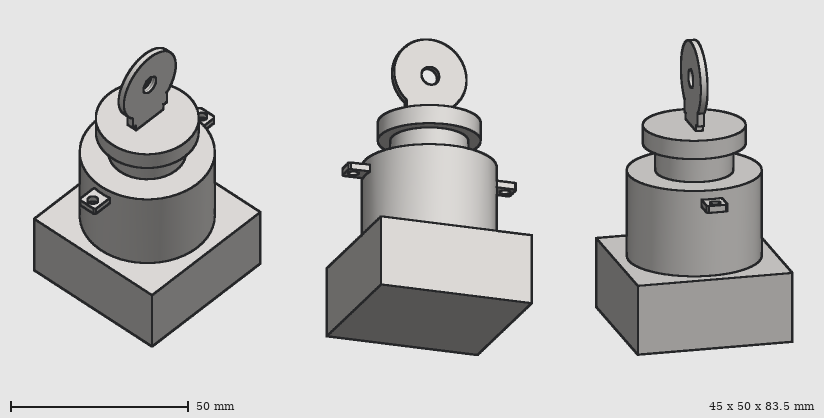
import cadquery as cq

base_side = 45.0
base_height = 20.4
barrel_diameter = 38.0
barrel_height = 25.2

neck_diameter = 22.0
neck_height = 7.9
head_diameter = 29.0
head_height = 5.4

overall_height = 83.5
key_thickness = 2.0
bow_diameter = 21.6
bow_hole_diameter = 5.3
shoulder_width = 14.0
blade_width = 11.45
blade_height = 1.75

lug_span = 50.0
lug_width = 6.0
lug_thickness = 2.0
lug_drop = 2.6
lug_corner_chamfer = 0.5
lug_hole_diameter = 3.0
lug_hole_offset = 22.6

barrel_top = base_height + barrel_height
head_bottom = barrel_top + neck_height
head_top = head_bottom + head_height
bow_center_z = overall_height - bow_diameter / 2
lug_bottom = barrel_top - lug_drop - lug_thickness


def cylinder(diameter, height, bottom):
    return cq.Workplane("XY").workplane(offset=bottom).circle(diameter / 2).extrude(height)


def make_housing():
    base = cq.Workplane("XY").rect(base_side, base_side).extrude(base_height)
    return base.union(cylinder(barrel_diameter, barrel_height, base_height))


def make_plug():
    neck = cylinder(neck_diameter, neck_height, barrel_top)
    return neck.union(cylinder(head_diameter, head_height, head_bottom))


def key_plate(width, bottom, top):
    """Flat plate of the key's thickness, centered on the lock axis."""
    return (
        cq.Workplane("XY")
        .workplane(offset=bottom)
        .rect(key_thickness, width)
        .extrude(top - bottom)
    )


def bow_disc(diameter):
    return (
        cq.Workplane("YZ")
        .center(0, bow_center_z)
        .circle(diameter / 2)
        .extrude(key_thickness / 2, both=True)
    )


def make_key():
    blade_top = head_top + blade_height
    blade = key_plate(blade_width, head_top, blade_top)
    shoulder = key_plate(shoulder_width, blade_top, bow_center_z)
    return blade.union(shoulder).union(bow_disc(bow_diameter)).cut(bow_disc(bow_hole_diameter))


def make_lug(turn):
    """Drilled lug whose inner end fits the barrel, turned about Z from the +Y side."""
    lug_length = lug_span / 2
    lug = (
        cq.Workplane("XY")
        .workplane(offset=lug_bottom)
        .center(0, lug_length / 2)
        .rect(lug_width, lug_length)
        .extrude(lug_thickness)
        .edges("|Z and >Y")
        .chamfer(lug_corner_chamfer)
    )
    hole = cylinder(lug_hole_diameter, lug_thickness, lug_bottom).translate((0, lug_hole_offset, 0))
    barrel_space = cylinder(barrel_diameter, lug_thickness, lug_bottom)
    return lug.cut(hole).cut(barrel_space).rotate((0, 0, 0), (0, 0, 1), turn)


housing = make_housing()
plug = make_plug()
key = make_key()
lugs = [make_lug(turn) for turn in (0, 180)]

result = cq.Compound.makeCompound(
    [housing.val(), plug.val(), key.val(), *[lug.val() for lug in lugs]]
)